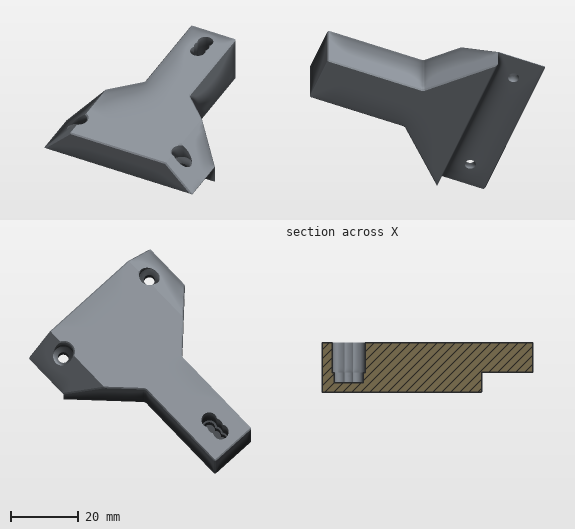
import cadquery as cq
import math

length = 63.0
width = 49.45
height = 15.0
edge_break = 0.4

stem_width = height
stem_length = 30.5
flare_run = (width - stem_width) / 2
flare_end = length - stem_length - flare_run

plate_bottom = 6.0
bevel_run = height - plate_bottom
tip_trim = 0.25
bevel_top_x = width / 2 + tip_trim - bevel_run

screw_x = 17.5
screw_y = 7.5
screw_diameter = 3.3
head_diameter = 6.2
seat_top = 10.3
seat_depth = (head_diameter - screw_diameter) / 2
screw_rim_break = edge_break

slot_center_y = length - 8.0
slot_pitch = 2.5
slot_offsets = (-slot_pitch, 0, slot_pitch)
slot_diameter = 4.65
slot_depth = 9.0
slot_step_diameter = 3.5
slot_step_depth = 12.0


def make_body():
    """Stem and 45 degree flare, with the underside relieved below the plate."""
    outline = [
        (-width / 2, 0),
        (width / 2, 0),
        (width / 2, flare_end),
        (stem_width / 2, length - stem_length),
        (stem_width / 2, length),
        (-stem_width / 2, length),
        (-stem_width / 2, length - stem_length),
        (-width / 2, flare_end),
    ]
    body = cq.Workplane("XY").polyline(outline).close().extrude(height)
    relief = cq.Workplane("XY").box(width, flare_end, plate_bottom, centered=(True, False, False))
    return body.cut(relief)


def bevel_sides(body):
    """Slope both sides of the plate at 45 degrees up to the top face."""
    section = [
        (-width / 2, 0),
        (width / 2, 0),
        (width / 2, plate_bottom + tip_trim),
        (bevel_top_x, height),
        (-bevel_top_x, height),
        (-width / 2, plate_bottom + tip_trim),
    ]
    envelope = cq.Workplane("XZ").polyline(section).close().extrude(-length)
    return body.intersect(envelope)


def break_straight_edges(body):
    """Chamfer the top and bottom outlines, the stem corners and the plate's lower front edge."""
    stem_zone = cq.selectors.BoxSelector(
        (-stem_width, flare_end + flare_run / 2, -0.6), (stem_width, length + 0.6, height + 0.6)
    )
    edges = body.faces(">Z or <Z").edges()
    edges = edges.add(body.edges("|Z").edges(stem_zone))
    edges = edges.add(body.faces("<Y").edges("<Z"))
    return edges.chamfer(edge_break)


def make_edge_cutter(start, end, normal_a, normal_b):
    """Slab that chamfers the edge start-end between two faces with the given outward normals."""
    start, end = cq.Vector(*start), cq.Vector(*end)
    normal_a = cq.Vector(*normal_a).normalized()
    normal_b = cq.Vector(*normal_b).normalized()
    outward = (normal_a + normal_b).normalized()
    depth = edge_break * math.sqrt((1 - normal_a.dot(normal_b)) / 2)
    origin = (start + end) * 0.5 - outward * depth
    plane = cq.Plane(origin=origin, xDir=end - start, normal=outward)
    slab_length = (end - start).Length + 2 * edge_break
    slab_width = 6 * edge_break
    return cq.Workplane(plane).rect(slab_length, slab_width).extrude(2 * edge_break)


def break_bevel_edges(body):
    """Chamfer the sloped edges where each bevel meets the plate front and the flare."""
    tip_x = width / 2
    tip_z = plate_bottom + tip_trim
    for side in (-1, 1):
        bevel_normal = (side, 0, 1)
        front_edge = ((side * tip_x, 0, tip_z), (side * bevel_top_x, 0, height))
        flare_edge = (
            (side * tip_x, flare_end, tip_z),
            (side * bevel_top_x, flare_end + tip_x - bevel_top_x, height),
        )
        body = body.cut(make_edge_cutter(*front_edge, bevel_normal, (0, -1, 0)))
        body = body.cut(make_edge_cutter(*flare_edge, bevel_normal, (side, 1, 0)))
    return body


def cut_screw_holes(body):
    """Through holes with conical seats and cylindrical head clearance."""
    rim_diameter = head_diameter + 2 * screw_rim_break
    profile = [
        (0, 0),
        (screw_diameter / 2, 0),
        (screw_diameter / 2, seat_top - seat_depth),
        (head_diameter / 2, seat_top),
        (head_diameter / 2, height - screw_rim_break),
        (rim_diameter / 2, height),
        (0, height),
    ]
    cutter = cq.Workplane("XZ").polyline(profile).close().revolve(360, (0, 0, 0), (0, 1, 0))
    for side in (-1, 1):
        body = body.cut(cutter.translate((side * screw_x, screw_y, 0)))
    return body


def cut_slot(body):
    """Sink the row of overlapping holes, then a narrower row in its floor."""
    centers = [(0, slot_center_y + offset) for offset in slot_offsets]
    for diameter, depth in ((slot_diameter, slot_depth), (slot_step_diameter, slot_step_depth)):
        for center in centers:
            hole = cq.Workplane("XY", origin=(*center, height - depth)).circle(diameter / 2).extrude(depth)
            body = body.cut(hole)
    return body


blank = break_straight_edges(make_body())
blank = break_bevel_edges(bevel_sides(blank))
result = cut_slot(cut_screw_holes(blank))